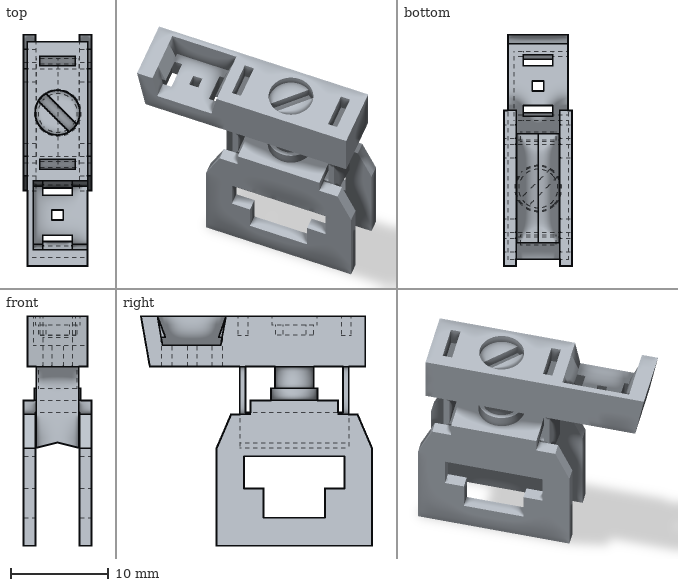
import cadquery as cq
import math

bracket_width = 7.0
bracket_length = 16.0
plate_thickness = 1.25
shoulder_height = 13.5
shoulder_half_length = 6.5
chamfer_height = 10.0
bridge_length = 9.0
bridge_height = 14.95

window_length = 10.3
window_top = 9.2
window_step_height = 5.9
window_lower_length = 6.3
window_bottom = 2.9

saddle_width = 4.4
saddle_length = 11.2
saddle_top = bridge_height - plate_thickness
saddle_bottom = 10.05
groove_depth = 0.55
ear_thickness = 0.6

collar_diameter = 4.8
collar_top = 16.2
shank_diameter = 4.0

bar_width = 6.2
bar_height = 5.2
bar_top = 23.6
bar_bottom = bar_top - bar_height
bar_rear = 7.3
bar_front = -15.76
bar_end_angle = math.radians(10)

head_diameter = 4.6
head_recess_depth = 0.9
driver_slot_width = 1.1
driver_slot_depth = 1.0
driver_slot_angle = -45
key_slot_width = 3.65
key_slot_length = 1.0
key_slot_depth = 2.0
key_slot_offset = 5.3

pocket_side_wall = 0.6
pocket_rear = -7.0
pocket_front = -14.06
pocket_depth = 3.0
rear_wall_break_depth = 2.2
rear_wall_break_lean = 0.42
rear_wall_foot_lean = 0.55
front_wall_foot_lean = pocket_depth * math.tan(bar_end_angle)
floor_hole_width = 1.15
floor_hole_length = 1.0
floor_hole_y = -10.5

hook_width = 3.0
hook_depth = 2.2
rear_hook_reach = 0.76
front_hook_reach = 0.83
hook_slot_start = 0.38
hook_slot_end = 1.47


def box(width, length, bottom, top, center_y=0.0):
    """A box centred on X = 0, spanning the given heights."""
    return (
        cq.Workplane("XY", origin=(0, center_y, bottom))
        .rect(width, length)
        .extrude(top - bottom)
    )


def side_prism(points, x_min, x_max):
    """A (Y, Z) outline extruded along X."""
    return cq.Workplane("YZ", origin=(x_min, 0, 0)).polyline(points).close().extrude(x_max - x_min)


def make_bracket():
    half_width = bracket_width / 2
    half_length = bracket_length / 2
    half_bridge = bridge_length / 2
    outline = [
        (-half_length, 0),
        (half_length, 0),
        (half_length, chamfer_height),
        (shoulder_half_length, shoulder_height),
        (half_bridge, shoulder_height),
        (half_bridge, bridge_height),
        (-half_bridge, bridge_height),
        (-half_bridge, shoulder_height),
        (-shoulder_half_length, shoulder_height),
        (-half_length, chamfer_height),
    ]
    bracket = side_prism(outline, -half_width, half_width)
    gap = box(bracket_width - 2 * plate_thickness, bracket_length, 0, saddle_top)
    upper_window = box(bracket_width, window_length, window_step_height, window_top)
    lower_window = box(bracket_width, window_lower_length, window_bottom, window_step_height)
    return bracket.cut(gap).cut(upper_window).cut(lower_window)


def make_saddle():
    half_width = saddle_width / 2
    saddle = (
        cq.Workplane("XZ", origin=(0, saddle_length / 2, 0))
        .moveTo(-half_width, saddle_bottom)
        .lineTo(0, saddle_bottom + groove_depth)
        .lineTo(half_width, saddle_bottom)
        .lineTo(half_width, saddle_top)
        .lineTo(-half_width, saddle_top)
        .close()
        .extrude(saddle_length)
    )
    for side in (-1, 1):
        ear_y = side * (saddle_length - ear_thickness) / 2
        saddle = saddle.union(box(saddle_width, ear_thickness, saddle_top, bar_bottom, ear_y))
    return saddle


def make_screw():
    collar = cq.Workplane("XY", origin=(0, 0, bridge_height)).circle(collar_diameter / 2)
    shank = cq.Workplane("XY", origin=(0, 0, collar_top)).circle(shank_diameter / 2)
    return collar.extrude(collar_top - bridge_height).union(shank.extrude(bar_bottom - collar_top))


def cut_screw_head(bar):
    """Sink the screw head below the top face and cut its driver slot."""
    head_top = bar_top - head_recess_depth
    recess = cq.Workplane("XY", origin=(0, 0, head_top)).circle(head_diameter / 2).extrude(head_recess_depth)
    head = cq.Workplane("XY", origin=(0, 0, head_top)).circle(head_diameter / 2).extrude(-driver_slot_depth)
    driver_slot = box(head_diameter, driver_slot_width, head_top - driver_slot_depth, head_top)
    driver_slot = driver_slot.rotate((0, 0, 0), (0, 0, 1), driver_slot_angle)
    return bar.cut(recess).cut(driver_slot.intersect(head))


def cut_key_slots(bar):
    for side in (-1, 1):
        slot_y = side * key_slot_offset
        bar = bar.cut(box(key_slot_width, key_slot_length, bar_top - key_slot_depth, bar_top, slot_y))
    return bar


def make_hook(wall_y, direction, reach):
    """A wedge that leans out of a pocket end wall toward `direction` and ends in a flat underside."""
    underside = bar_top - hook_depth
    outline = [
        (wall_y, bar_top),
        (wall_y + direction * reach, underside),
        (wall_y, underside),
    ]
    return side_prism(outline, -hook_width / 2, hook_width / 2)


def cut_pocket(bar):
    floor = bar_top - pocket_depth
    outline = [
        (pocket_rear, bar_top),
        (pocket_rear - rear_wall_break_lean, bar_top - rear_wall_break_depth),
        (pocket_rear - rear_wall_foot_lean, floor),
        (pocket_front + front_wall_foot_lean, floor),
        (pocket_front, bar_top),
    ]
    bar = bar.cut(side_prism(outline, pocket_side_wall - bar_width / 2, bar_width / 2))

    bar = bar.cut(box(floor_hole_width, floor_hole_length, bar_bottom, floor, floor_hole_y))

    hooks = ((pocket_rear, -1, rear_hook_reach), (pocket_front, 1, front_hook_reach))
    for wall_y, direction, reach in hooks:
        slot_y = wall_y + direction * (hook_slot_start + hook_slot_end) / 2
        slot_top = bar_top - hook_depth
        bar = bar.cut(box(hook_width, hook_slot_end - hook_slot_start, bar_bottom, slot_top, slot_y))
        bar = bar.union(make_hook(wall_y, direction, reach))
    return bar


def make_bar():
    end_lean = bar_height * math.tan(bar_end_angle)
    outline = [
        (bar_rear, bar_top),
        (bar_rear, bar_bottom),
        (bar_front + end_lean, bar_bottom),
        (bar_front, bar_top),
    ]
    bar = side_prism(outline, -bar_width / 2, bar_width / 2)
    return cut_pocket(cut_key_slots(cut_screw_head(bar)))


result = make_bracket().union(make_saddle()).union(make_screw()).union(make_bar())